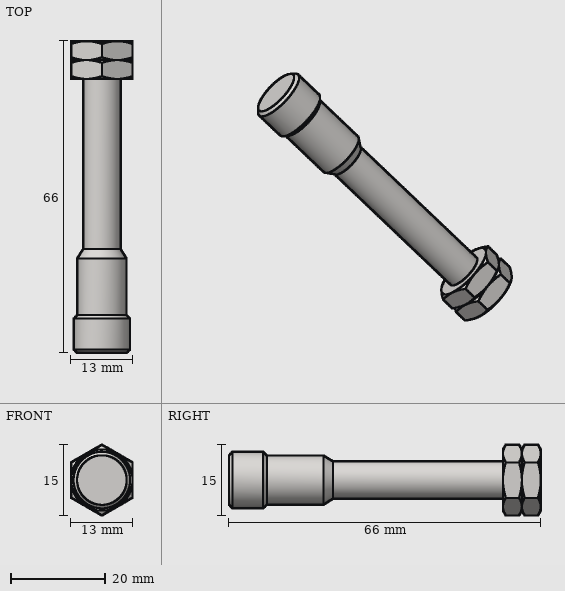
import cadquery as cq
import math

total_length = 66.0

head_radius = 6.0
body_radius = 5.25
shank_radius = 4.0
bevel = head_radius - body_radius
body_start = 8.0
body_end = 20.0
taper_length = 2.0

nut_count = 2
nut_thickness = 4.0
across_flats = 13.0
hex_sides = 6
across_corners = across_flats / math.cos(math.pi / hex_sides)
nut_face_radius = across_flats / 2
corner_chamfer_angle = 30.0


def revolve_about_y(profile):
    """Revolve an XY half-profile a full turn around the Y axis."""
    return cq.Workplane("XY").polyline(profile).close().revolve(360, (0, 0, 0), (0, 1, 0))


def stepped_shaft():
    """Bevelled head, body and shank, the shank running through both nuts."""
    return revolve_about_y([
        (0, 0),
        (head_radius - bevel, 0),
        (head_radius, bevel),
        (head_radius, body_start - bevel),
        (body_radius, body_start),
        (body_radius, body_end),
        (shank_radius, body_end + taper_length),
        (shank_radius, total_length),
        (0, total_length),
    ])


def hex_nut(start):
    """Solid hexagon from Y = start, corners on +Z and -Z, corners coned off at both faces."""
    end = start + nut_thickness
    corner_radius = across_corners / 2
    chamfer_height = (corner_radius - nut_face_radius) * math.tan(math.radians(corner_chamfer_angle))
    hexagon = (
        cq.Workplane("XZ", origin=(0, start, 0))
        .transformed(rotate=(0, 0, 90))
        .polygon(hex_sides, across_corners)
        .extrude(-nut_thickness)
    )
    coned_envelope = revolve_about_y([
        (0, start),
        (nut_face_radius, start),
        (corner_radius, start + chamfer_height),
        (corner_radius, end - chamfer_height),
        (nut_face_radius, end),
        (0, end),
    ])
    return hexagon.intersect(coned_envelope)


result = stepped_shaft()
for index in range(nut_count):
    result = result.union(hex_nut(total_length - (index + 1) * nut_thickness))